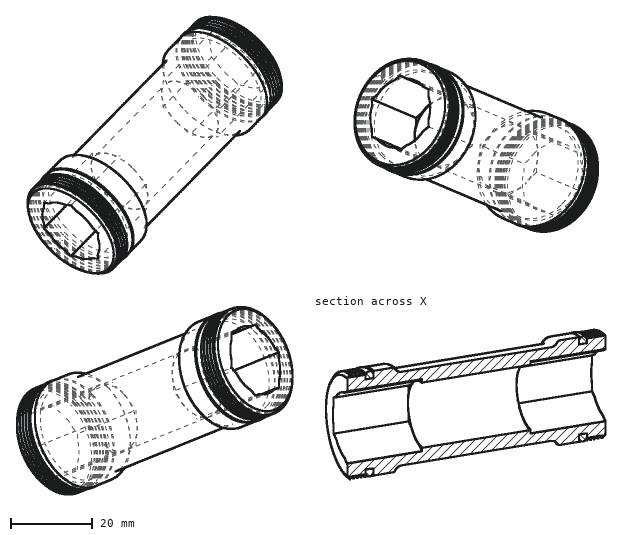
import cadquery as cq
import math

LENGTH = 69.0
TUBE_RADIUS = 12.5
COLLAR_RADIUS = 13.97
COLLAR_END_DEPTH = 12.1
SHOULDER_LENGTH = 2.4
SHOULDER_CREST_RADIUS = 1.0
END_FACE_RADIUS = 13.1

BORE_RADIUS = 8.6
COUNTERBORE_RADIUS = 8.75
HEX_ACROSS_FLATS = 16.5
SOCKET_DEPTH = 20.0

RING_OUTER_RADIUS = 14.05
RING_WIDTH = 2.0
RING_CREST_FLAT = 0.15
RING_DEPTH = 5.0

PITCH = 1.0
THREAD_RADIUS = 13.87
THREAD_HEIGHT = 0.6
THREAD_FLANK_ANGLE = 30.0
FRONT_THREAD_PHASE = 180.0
BACK_THREAD_PHASE = -90.0

half_length = LENGTH / 2
rim_width = THREAD_RADIUS - END_FACE_RADIUS
ring_end_depth = RING_DEPTH + RING_WIDTH
ring_fillet = (RING_WIDTH - RING_CREST_FLAT) / 2
ring_inner_radius = RING_OUTER_RADIUS - RING_WIDTH
thread_core_radius = THREAD_RADIUS - THREAD_HEIGHT
ridge_crest_width = PITCH / 8
ridge_root_width = ridge_crest_width + 2 * THREAD_HEIGHT * math.tan(math.radians(THREAD_FLANK_ANGLE))


def disc(radius, depth, length):
    """Solid cylinder on the Z axis, starting at a depth."""
    return cq.Workplane("XY").workplane(offset=depth).circle(radius).extrude(length)


def profile():
    """Workplane for half sections: local x is the radius, local y the depth along Z."""
    return cq.Workplane("XZ")


def sleeve_half_blank():
    """Outer shape of one half of the sleeve, with its end face at Z = 0."""
    step = COLLAR_RADIUS - TUBE_RADIUS
    turn = 2 * math.atan(step / SHOULDER_LENGTH)
    root_radius = SHOULDER_LENGTH / math.sin(turn) - SHOULDER_CREST_RADIUS
    shoulder_end = COLLAR_END_DEPTH + SHOULDER_LENGTH

    def crest_point(angle):
        drop = SHOULDER_CREST_RADIUS * (1 - math.cos(angle))
        return COLLAR_RADIUS - drop, COLLAR_END_DEPTH + SHOULDER_CREST_RADIUS * math.sin(angle)

    def root_point(angle):
        rise = root_radius * (1 - math.cos(angle))
        return TUBE_RADIUS + rise, shoulder_end - root_radius * math.sin(angle)

    return (
        profile()
        .lineTo(END_FACE_RADIUS, 0)
        .lineTo(THREAD_RADIUS, rim_width)
        .lineTo(thread_core_radius, rim_width)
        .lineTo(thread_core_radius, RING_DEPTH)
        .lineTo(ring_inner_radius, RING_DEPTH)
        .lineTo(ring_inner_radius, ring_end_depth)
        .lineTo(COLLAR_RADIUS, ring_end_depth)
        .lineTo(COLLAR_RADIUS, COLLAR_END_DEPTH)
        .threePointArc(crest_point(turn / 2), crest_point(turn))
        .threePointArc(root_point(turn / 2), root_point(0))
        .lineTo(TUBE_RADIUS, half_length)
        .lineTo(0, half_length)
        .close()
        .revolve(360, (0, 0), (0, 1))
    )


def socket():
    """Hexagon with corners up and down, joined with the round counterbore."""
    across_corners = HEX_ACROSS_FLATS / math.cos(math.pi / 6)
    hexagon = (
        cq.Workplane("XY")
        .transformed(rotate=(0, 0, 30))
        .polygon(6, across_corners)
        .extrude(SOCKET_DEPTH)
    )
    return hexagon.union(disc(COUNTERBORE_RADIUS, 0, SOCKET_DEPTH))


def place_at_end(body, end):
    """Move a body whose end face is at Z = 0 to the front (-1) or back (+1) end of the sleeve."""
    return body.rotate((0, 0, 0), (1, 0, 0), 90 * end).translate((0, end * half_length, 0))


def make_sleeve():
    half = sleeve_half_blank().cut(socket()).cut(disc(BORE_RADIUS, 0, half_length))
    return place_at_end(half, -1).union(place_at_end(half, 1)).clean()


def make_sealing_ring():
    return (
        disc(RING_OUTER_RADIUS, RING_DEPTH, RING_WIDTH)
        .edges().fillet(ring_fillet)
        .cut(disc(ring_inner_radius, RING_DEPTH, RING_WIDTH))
    )


def make_thread_ridge(phase):
    """Right-hand helical ridge, trimmed to the core between the end rim and the sealing ring groove."""
    helix = cq.Wire.makeHelix(PITCH, RING_DEPTH + PITCH / 2, thread_core_radius)
    trim = disc(COLLAR_RADIUS, rim_width, RING_DEPTH - rim_width)
    return (
        profile()
        .moveTo(thread_core_radius, -ridge_root_width / 2)
        .lineTo(THREAD_RADIUS, -ridge_crest_width / 2)
        .lineTo(THREAD_RADIUS, ridge_crest_width / 2)
        .lineTo(thread_core_radius, ridge_root_width / 2)
        .close()
        .sweep(cq.Workplane(obj=helix), isFrenet=True)
        .intersect(trim)
        .rotate((0, 0, 0), (0, 0, 1), phase)
    )


bodies = [make_sleeve()]
for end, phase in ((-1, FRONT_THREAD_PHASE), (1, BACK_THREAD_PHASE)):
    bodies.append(place_at_end(make_sealing_ring(), end))
    bodies.append(place_at_end(make_thread_ridge(phase), end))

result = cq.Compound.makeCompound([body.val() for body in bodies])